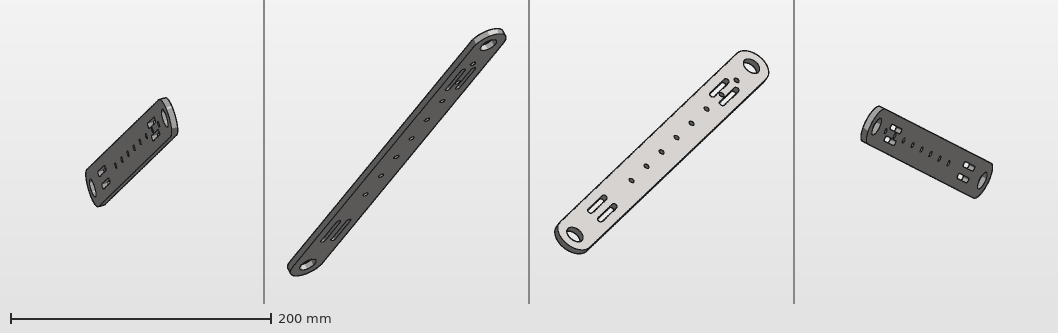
import cadquery as cq
import math

size_x = 184.0
size_z = 281.5
thickness = 5.0
bar_width = 30.0

end_hole_diameter = 14.0
small_hole_diameter = 4.2
small_hole_count = 8
small_hole_pitch = 25.0
slot_width = 4.2
slot_length = 28.7
slot_spacing = 10.0
slot_distance_from_end = 45.5

span_x = size_x - bar_width
span_z = size_z - bar_width
centre_distance = math.hypot(span_x, span_z)
incline = math.degrees(math.atan2(span_z, span_x))
upper_end = centre_distance / 2

mid_plane = cq.Workplane("XZ")


def through_thickness(sketch):
    """Extrude a profile through the full thickness, centred on the mid plane."""
    return sketch.extrude(thickness / 2, both=True)


bar = through_thickness(mid_plane.slot2D(centre_distance + bar_width, bar_width))

pivot_points = [(-upper_end, 0), (upper_end, 0)]
bar = bar.cut(through_thickness(mid_plane.pushPoints(pivot_points).circle(end_hole_diameter / 2)))

row_points = [(upper_end - i * small_hole_pitch, 0) for i in range(1, small_hole_count + 1)]
bar = bar.cut(through_thickness(mid_plane.pushPoints(row_points).circle(small_hole_diameter / 2)))

slot_offset = upper_end - slot_distance_from_end
slot_points = [(end * slot_offset, side * slot_spacing / 2) for end in (-1, 1) for side in (-1, 1)]
bar = bar.cut(through_thickness(mid_plane.pushPoints(slot_points).slot2D(slot_length, slot_width)))

result = bar.rotate((0, 0, 0), (0, 1, 0), -incline)